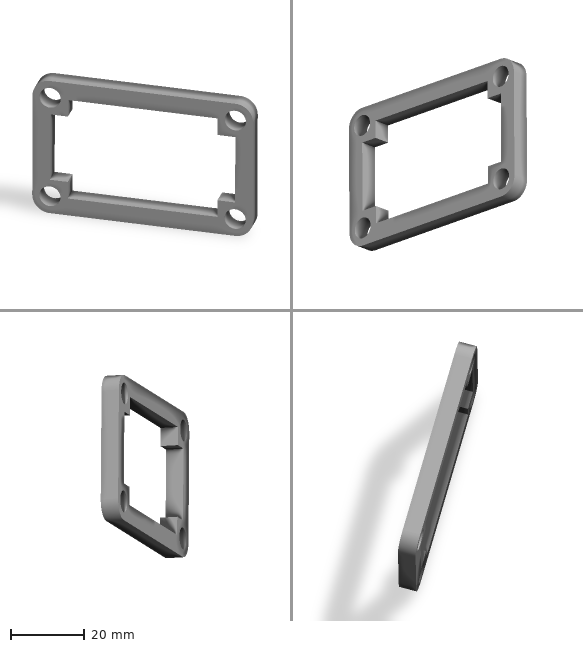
import cadquery as cq

length = 62.4
height = 40.4
thickness = 5.0
corner_radius = 5.0
tilt_angle = 0.45

hole_diameter = 6.0
cut_length = 2 * thickness
inner_length = 52.4
inner_height = 30.1

block_size = 5.05


def centred_block(size_x, size_z):
    """Box of the plate thickness, centred on the origin."""
    return cq.Workplane("XY").box(size_x, thickness, size_z)


plate = centred_block(length, height).edges("|Y").fillet(corner_radius)

wide_window = centred_block(inner_length, inner_height - 2 * block_size)
tall_window = centred_block(inner_length - 2 * block_size, inner_height)
frame = plate.cut(wide_window).cut(tall_window)

screw_holes = (
    cq.Workplane("XZ", origin=(0, cut_length / 2, 0))
    .rect(inner_length, inner_height, forConstruction=True)
    .vertices()
    .circle(hole_diameter / 2)
    .extrude(cut_length)
)
frame = frame.cut(screw_holes)

result = frame.rotate((0, 0, 0), (1, 0, 0), -tilt_angle)